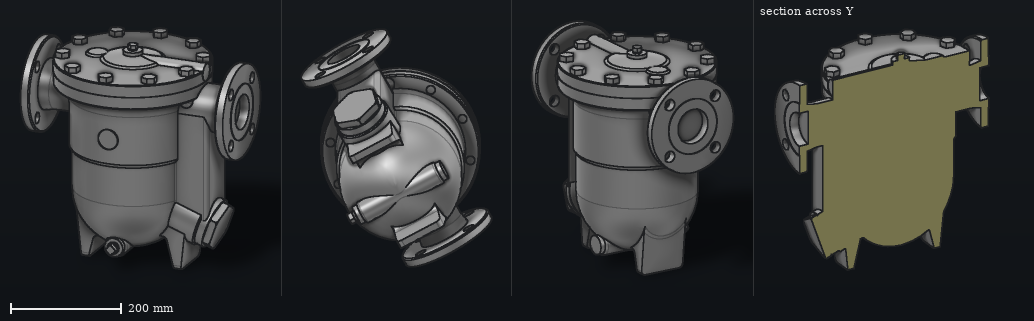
import cadquery as cq
import math


dome_radius = 111.0
dome_center_z = 134.5
upper_radius = 116.0
step_bottom_z = 208.0
step_top_z = 215.0
neck_base_z = 308.0
neck_top_radius = 118.5

cover_diameter = 290.0
cover_radius = cover_diameter / 2
rim_radius = cover_radius - 1.0
rim_bottom_z = 331.7
rim_chamfer = 3.0
cover_bottom_z = 356.5
cover_top_z = 379.7
cover_chamfer = 1.5

bolt_count = 10
bolt_circle_radius = 128.2
bolt_head_flats = 24.5
bolt_head_height = 10.5
bolt_shank_diameter = 16.0
bolt_end_protrusion = 1.2
lug_radius = 12.5
lug_center_z = 327.5

crown_radius = 59.5
crown_shoulder_radius = 53.7
crown_shoulder_z = 383.0
crown_top_radius = 18.0
crown_top_z = 389.5
vent_radius = 18.0
vent_top_z = 396.5
vent_neck_radius = 7.5
vent_hex_flats = 16.0
vent_hex_bottom_z = 398.5
overall_height = 407.0
pad_x = -69.0
pad_radius = 22.0
pad_height = 3.5
pad_taper = 3.5
ridge_radius = 16.5
ridge_top_z = 390.0

port_length = 401.0
port_mid_x = 15.0
port_z = 306.5
pipe_radius = 88.0 / 2
pipe_neck_radius = 47.5
flange_radius = 178.0 / 2
raised_face_radius = 104.5 / 2
raised_face_height = 1.2
flange_thickness = 16.5
flange_edge_chamfer = 2.5
pipe_neck_length = 19.5
bore_diameter = 65.0
bore_depth = 18.7
flange_hole_diameter = 20.8
flange_hole_spacing = 99.0

riser_outer_x = 165.5
riser_edge_round = 8.5
riser_root_round = 3.5
riser_bottom_z = 89.5
riser_top_z = 303.2
strainer_tilt = 19.5
strainer_start_z = 140.0
strainer_tube_radius = 51.0
strainer_tube_end = 156.0
strainer_collar_radius = 47.2
strainer_collar_end = 171.0
strainer_hex_corners = 95.2
strainer_hex_end = 185.5
strainer_chamfer = 2.5

foot_half_width = 44.8
foot_corner_round = 9.0
foot_outer_bottom = 97.5
foot_outer_top = 109.0
foot_inner_bottom = 84.2
foot_inner_slope = 0.25
foot_top_z = 106.0
foot_web_end = 57.0
foot_web_round = 9.8
foot_root_round = 14.2
inlet_foot_web_z = 44.5
outlet_foot_web_z = 62.0

drain_z = 44.0
drain_tube_radius = 21.0
drain_tube_half_length = 80.5
drain_edge_round = 4.0
drain_plug_radius = 18.0
drain_plug_half_length = 90.0
drain_neck_radius = 10.5
drain_neck_end = 95.2
drain_square_diagonal = 21.0
drain_square_end = 105.5
side_boss_z = 262.0
side_boss_radius = 19.0
side_boss_reach = 117.5


def cylinder_z(radius, z_low, z_high, x=0, y=0):
    """Vertical cylinder between two heights."""
    return cq.Workplane("XY", origin=(x, y, z_low)).circle(radius).extrude(z_high - z_low)


def cylinder_y(radius, y_low, y_high, z):
    """Cylinder along Y, in the plane X = 0."""
    return cq.Workplane("XZ", origin=(0, y_high, z)).circle(radius).extrude(y_high - y_low)


def near(x, y, z):
    """Selector for the edge whose centre is closest to a point."""
    return cq.selectors.NearestToPointSelector((x, y, z))


def make_body():
    """Vessel with a hemispherical bottom, a stepped wall and a conical neck."""
    mid_angle = math.radians(45)
    return (
        cq.Workplane("XZ")
        .moveTo(0, dome_center_z - dome_radius)
        .threePointArc(
            (dome_radius * math.cos(mid_angle), dome_center_z - dome_radius * math.sin(mid_angle)),
            (dome_radius, dome_center_z),
        )
        .lineTo(dome_radius, step_bottom_z)
        .lineTo(upper_radius, step_top_z)
        .lineTo(upper_radius, neck_base_z)
        .lineTo(neck_top_radius, rim_bottom_z)
        .lineTo(0, rim_bottom_z)
        .close()
        .revolve(360, (0, 0, 0), (0, 1, 0))
    )


def make_cover():
    """Body rim, cover disc, conical crown, raised pad and outlet ridge."""
    rim = cylinder_z(rim_radius, rim_bottom_z, cover_bottom_z).faces("<Z").chamfer(rim_chamfer)
    disc = cylinder_z(cover_radius, cover_bottom_z, cover_top_z).faces(">Z").chamfer(cover_chamfer)
    crown = (
        cq.Workplane("XZ")
        .polyline([
            (0, cover_bottom_z),
            (crown_radius, cover_bottom_z),
            (crown_radius, cover_top_z),
            (crown_shoulder_radius, crown_shoulder_z),
            (crown_top_radius, crown_top_z),
            (0, crown_top_z),
        ])
        .close()
        .revolve(360, (0, 0, 0), (0, 1, 0))
    )
    pad = (
        cylinder_z(pad_radius, cover_bottom_z, cover_top_z + pad_height, x=pad_x)
        .faces(">Z")
        .chamfer(pad_taper)
    )
    ridge = (
        cq.Workplane("YZ", origin=(0, 0, ridge_top_z - ridge_radius))
        .circle(ridge_radius)
        .extrude(cover_radius)
    )
    return rim.union(disc).union(crown).union(pad).union(ridge)


def make_vent_plug():
    """Round plug with a hexagonal head on top of the crown."""
    plug = cylinder_z(vent_radius, cover_top_z, vent_top_z)
    neck = cylinder_z(vent_neck_radius, vent_top_z, vent_hex_bottom_z)
    hex_head = (
        cq.Workplane("XY", origin=(0, 0, vent_hex_bottom_z))
        .polygon(6, vent_hex_flats, circumscribed=True)
        .extrude(overall_height - vent_hex_bottom_z)
    )
    return plug.union(neck).union(hex_head)


def make_bolts():
    """Ring of hexagonal bolt heads with shank ends showing under the rim."""
    head = (
        cq.Workplane("XY", origin=(0, bolt_circle_radius, cover_top_z))
        .transformed(rotate=(0, 0, 30))
        .polygon(6, bolt_head_flats, circumscribed=True)
        .extrude(bolt_head_height)
    )
    shank_bottom_z = rim_bottom_z - bolt_end_protrusion
    shank = cylinder_z(bolt_shank_diameter / 2, shank_bottom_z, cover_top_z, y=bolt_circle_radius)
    bolt = head.union(shank)
    bolts = cq.Workplane("XY")
    for i in range(bolt_count):
        bolts = bolts.union(bolt.rotate((0, 0, 0), (0, 0, 1), i * 360 / bolt_count))
    return bolts


def make_lugs():
    """Round-ended lugs below the four bolts that sit next to the ports."""
    lug_angle = math.radians(180 / bolt_count)
    lug_x = bolt_circle_radius * math.cos(lug_angle)
    lug_y = bolt_circle_radius * math.sin(lug_angle)
    lugs = cq.Workplane("XY")
    for x in (-lug_x, lug_x):
        for y in (-lug_y, lug_y):
            lugs = lugs.union(cylinder_z(lug_radius, lug_center_z, cover_bottom_z, x, y))
            lugs = lugs.union(cq.Workplane("XY", origin=(x, y, lug_center_z)).sphere(lug_radius))
    return lugs


def make_port(side):
    """Flanged pipe from the vessel axis to the raised face; side is -1 or +1 along X."""
    face = abs(port_mid_x + side * port_length / 2)
    flange_front = face - raised_face_height
    flange_back = flange_front - flange_thickness
    neck_start = flange_back - pipe_neck_length
    port = (
        cq.Workplane("XZ")
        .moveTo(0, 0)
        .lineTo(0, pipe_radius)
        .lineTo(neck_start, pipe_radius)
        .lineTo(flange_back, pipe_neck_radius)
        .lineTo(flange_back, flange_radius - flange_edge_chamfer)
        .lineTo(flange_back + flange_edge_chamfer, flange_radius)
        .lineTo(flange_front, flange_radius)
        .lineTo(flange_front, raised_face_radius)
        .lineTo(face, raised_face_radius)
        .lineTo(face, 0)
        .close()
        .revolve(360, (0, 0, 0), (1, 0, 0))
    )
    holes = (
        cq.Workplane("YZ", origin=(flange_back, 0, 0))
        .rect(flange_hole_spacing, flange_hole_spacing, forConstruction=True)
        .vertices()
        .circle(flange_hole_diameter / 2)
        .extrude(flange_thickness + raised_face_height)
    )
    port = port.cut(holes)
    if side < 0:
        port = port.mirror("YZ")
    return port.translate((0, 0, port_z))


def make_bore(side):
    """Blind bore in the end of a port."""
    face_x = port_mid_x + side * port_length / 2
    return (
        cq.Workplane("YZ", origin=(face_x, 0, port_z))
        .circle(bore_diameter / 2)
        .extrude(-side * bore_depth)
    )


def make_riser():
    """Box-shaped passage, as wide as the pipe, from the strainer up to the outlet port."""
    outlet_half = cq.Workplane("XY").box(
        riser_outer_x, 2 * cover_radius, 2 * overall_height, centered=(False, True, True)
    )
    return (
        cq.Workplane("XY", origin=(0, 0, riser_bottom_z))
        .rect(2 * riser_outer_x, 2 * pipe_radius)
        .extrude(riser_top_z - riser_bottom_z)
        .edges("|Z and >X")
        .fillet(riser_edge_round)
        .intersect(outlet_half)
    )


def make_strainer():
    """Inclined tube with a collar and a hexagonal cap, pointing down towards +X."""
    collar_length = strainer_collar_end - strainer_tube_end
    cap_length = strainer_hex_end - strainer_collar_end
    tube = (
        cq.Workplane("YZ")
        .circle(strainer_tube_radius)
        .extrude(strainer_tube_end)
        .faces(">X")
        .chamfer(strainer_chamfer)
    )
    collar = (
        cq.Workplane("YZ", origin=(strainer_tube_end, 0, 0))
        .circle(strainer_collar_radius)
        .extrude(collar_length)
    )
    cap_plane = cq.Workplane("YZ", origin=(strainer_collar_end, 0, 0))
    cap_envelope = (
        cap_plane.circle(strainer_hex_corners / 2)
        .extrude(cap_length)
        .faces("<X or >X")
        .chamfer(strainer_chamfer)
    )
    cap = (
        cap_plane.transformed(rotate=(0, 0, 90))
        .polygon(6, strainer_hex_corners)
        .extrude(cap_length)
        .intersect(cap_envelope)
    )
    return (
        tube.union(collar)
        .union(cap)
        .rotate((0, 0, 0), (0, 1, 0), strainer_tilt)
        .translate((0, 0, strainer_start_z))
    )


def make_foot(web_z):
    """Tapered foot on the +X side of the mid plane; its web meets the dome above web_z."""
    inner_x = foot_inner_bottom - foot_inner_slope * web_z
    foot = (
        cq.Workplane("XZ", origin=(0, foot_half_width, 0))
        .polyline([
            (foot_inner_bottom, 0),
            (foot_outer_bottom, 0),
            (foot_outer_top, foot_top_z),
            (foot_web_end, foot_top_z),
            (foot_web_end, web_z),
            (inner_x, web_z),
        ])
        .close()
        .extrude(2 * foot_half_width)
    )
    foot = foot.edges("<Z and |X").fillet(foot_corner_round)
    return foot.edges(near(inner_x, 0, web_z)).fillet(foot_web_round)


def make_shell():
    """Body with the riser, strainer and feet joined to it."""
    inlet_foot = make_foot(inlet_foot_web_z).mirror("YZ").translate((port_mid_x, 0, 0))
    outlet_foot = make_foot(outlet_foot_web_z).translate((port_mid_x, 0, 0))
    shell = make_body().union(inlet_foot)

    foot_root_z = (dome_center_z - dome_radius + foot_top_z) / 2
    shell = shell.edges(near(-dome_radius, 0, foot_root_z)).fillet(foot_root_round)

    shell = shell.union(make_riser())
    root_x = math.sqrt(dome_radius**2 - pipe_radius**2)
    root_z = (dome_center_z + step_bottom_z) / 2
    for root_y in (-pipe_radius, pipe_radius):
        shell = shell.edges(near(root_x, root_y, root_z)).fillet(riser_root_round)

    return shell.union(make_strainer()).union(outlet_foot)


def make_drain():
    """Cross tube through the dome with round plugs and a square key on the -Y plug."""
    tube = (
        cylinder_y(drain_tube_radius, -drain_tube_half_length, drain_tube_half_length, drain_z)
        .faces("<Y or >Y")
        .fillet(drain_edge_round)
    )
    plugs = cylinder_y(drain_plug_radius, -drain_plug_half_length, drain_plug_half_length, drain_z)
    neck = cylinder_y(drain_neck_radius, -drain_neck_end, 0, drain_z)
    key = (
        cq.Workplane("XZ", origin=(0, -drain_neck_end, drain_z))
        .polygon(4, drain_square_diagonal)
        .extrude(drain_square_end - drain_neck_end)
    )
    return tube.union(plugs).union(neck).union(key)


result = (
    make_shell()
    .union(make_cover())
    .union(make_vent_plug())
    .union(make_bolts())
    .union(make_lugs())
    .union(make_drain())
    .union(cylinder_y(side_boss_radius, -side_boss_reach, 0, side_boss_z))
)
for side in (-1, 1):
    result = result.union(make_port(side)).cut(make_bore(side))